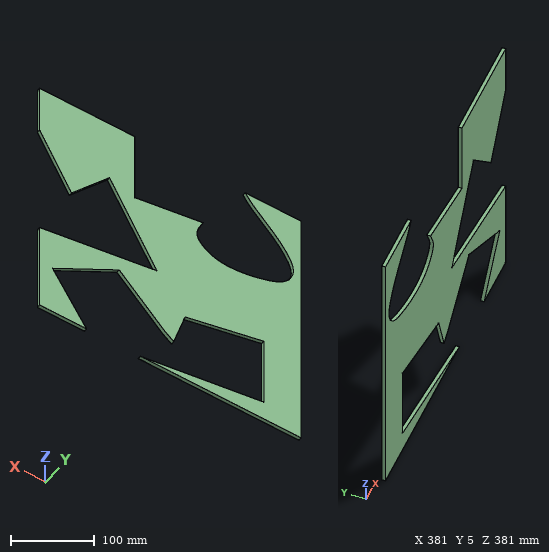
import cadquery as cq

side = 381.0
thickness = 5.0

bay_mouth = (81.5, side)
bay_curve = [
    (42.5, 338.5),
    (20.0, 310.0),
    (11.5, 284.5),
    (24.0, 260.5),
    (51.0, 246.5),
    (98.3, 236.5),
    (139.0, 246.5),
    (151.5, 266.5),
    (149.0, 276.5),
]
bay_tip = (142.5, 290.7)

step_x = 242.5
step_floor = 274.0

right_notch = [
    (side, 307.5),
    (334.5, 225.0),
    (279.3, 286.0),
    (210.5, 165.0),
    (side, 136.5),
]

bottom_notch_left = 54.5
bottom_notch = [
    (312.5, 0),
    (362.0, 76.2),
    (265.0, 132.5),
    (199.0, 66.0),
    (185.5, 55.2),
    (168.8, 109.0),
    (bottom_notch_left, 136.5),
    (bottom_notch_left, 29.7),
    (234.5, 0),
]

outline = (
    cq.Workplane("XZ")
    .moveTo(0, 0)
    .lineTo(0, side)
    .lineTo(*bay_mouth)
    .spline(bay_curve + [bay_tip], includeCurrent=True)
    .lineTo(step_x, step_floor)
    .lineTo(step_x, side)
    .lineTo(side, side)
)
for corner in right_notch:
    outline = outline.lineTo(*corner)
outline = outline.lineTo(side, 0)
for corner in bottom_notch:
    outline = outline.lineTo(*corner)

sheet = outline.close().extrude(thickness)
result = sheet.translate((-side / 2, thickness / 2, -side / 2))